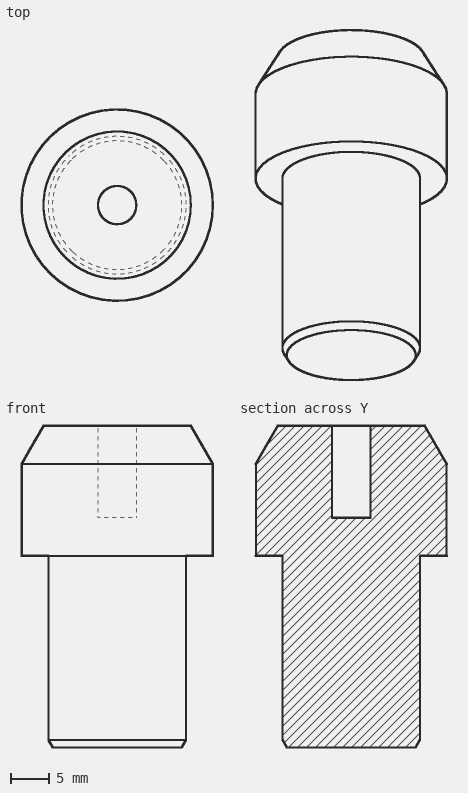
import cadquery as cq
import math

total_height = 42.0
head_diameter = 25.0
head_height = 17.0
shank_diameter = 18.0
hole_diameter = 5.0
hole_depth = 12.0

taper_angle = math.radians(30.0)
head_taper_height = 5.0
shank_taper_height = 1.0

shank_length = total_height - head_height
head_radius = head_diameter / 2
shank_radius = shank_diameter / 2
head_top_radius = head_radius - head_taper_height * math.tan(taper_angle)
shank_tip_radius = shank_radius - shank_taper_height * math.tan(taper_angle)


def pin_body():
    """Shank and wider head, each tapered at its free end, with the shank tip at Z = 0."""
    half_profile = [
        (0, 0),
        (shank_tip_radius, 0),
        (shank_radius, shank_taper_height),
        (shank_radius, shank_length),
        (head_radius, shank_length),
        (head_radius, total_height - head_taper_height),
        (head_top_radius, total_height),
        (0, total_height),
    ]
    return cq.Workplane("XZ").polyline(half_profile).close().revolve(360, (0, 0), (0, 1))


def axial_hole():
    """Flat-bottomed blind hole going down from the top face of the head."""
    hole_floor = cq.Workplane("XY").workplane(offset=total_height - hole_depth)
    return hole_floor.circle(hole_diameter / 2).extrude(hole_depth)


result = pin_body().cut(axial_hole())